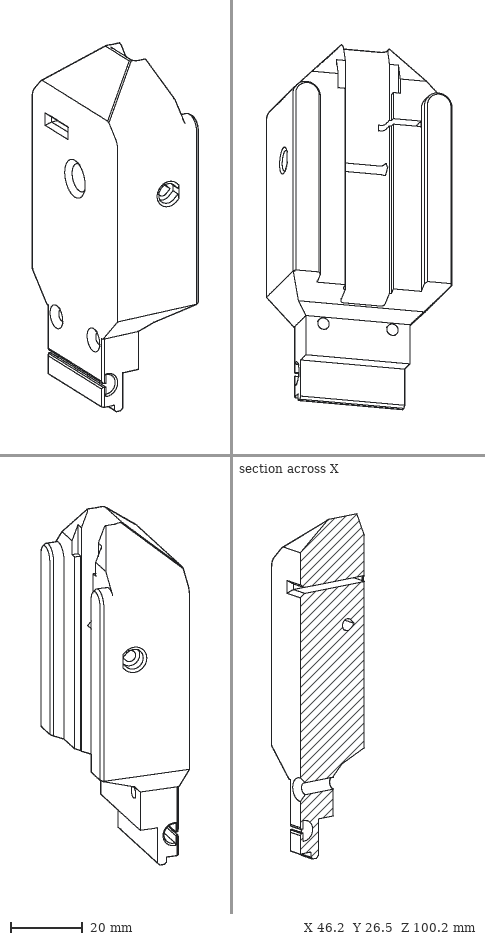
import cadquery as cq
import math

width = 46.2
depth = 26.5
height = 100.18
half_width = width / 2

corner_radius = 4.0
body_top = 86.2
corner_z = body_top - corner_radius
corner_x = half_width - corner_radius
post_inner_x = corner_x - corner_radius
rim_chamfer = 0.9
rim_chamfer_side = 0.6

neck_half_width = 15.1
neck_depth = 11.6
neck_top = 22.6
shoulder_z = neck_top + half_width - neck_half_width
neck_step_z = 11.2
tongue_front = 3.7
tongue_rear = 6.45
tongue_chamfer = 0.7
foot_z = 2.1
neck_edge_chamfer = 0.6

taper_break_y = 14.7
taper_break_z = neck_top + taper_break_y - neck_depth
taper_rim_z = 30.8

nose_depth = 22.5
nose_front_z = 88.9
nose_rear_z = 90.3
nose_tip_front = 13.75
nose_tip_rear = 18.6
nose_edge_chamfer = 0.3
nose_side_sum = corner_x + corner_z + corner_radius * math.sqrt(2)
nose_tip_half_width = nose_side_sum - height
tangent_offset = corner_radius * math.sqrt(0.5)
nose_base_z = corner_z + tangent_offset
nose_base_half_width = corner_x + tangent_offset

channel_half_width = 6.4
channel_floor = 15.45
channel_corner_radius = 1.0
mouth_radius = 1.2
ledge_y = 20.7
ledge_half_width = 7.0
notch_half_width = 9.0

groove_y = 1.4
lip_thickness = 1.0
groove_z = 8.65
groove_radius = 2.9
groove_end_chamfer = 0.5
slit_height = 1.1
slit_bevel = 0.6
slit_bevel_depth = 0.25

cone_angle = 45
screw_diameter = 3.3
neck_hole_spacing = 20.0
neck_hole_z = 20.7
neck_sink_diameter = 6.8
side_hole_y = 16.55
side_hole_z = 65.5
side_mouth_radius = 3.75
side_mouth_depth = 0.5
side_bore_radius = 2.9
side_bore_depth = 3.2
side_bore_flat = 3.3
recess_z = side_hole_z
recess_outer_diameter = 11.0
recess_inner_diameter = 8.0
window_x = -9.95
window_z = 77.8
window_width = 10.2
window_height = 1.6
window_chamfer = 1.05
window_chamfer_depth = 1.5
window_chamfer_angle = math.degrees(math.atan2(window_chamfer, window_chamfer_depth))


def extrude_along_y(points, y_start, y_end):
    """Prism from an X-Z outline."""
    plane = cq.Workplane("XZ", origin=(0, y_start, 0))
    return plane.polyline(points).close().extrude(y_start - y_end)


def extrude_along_x(points, half_length):
    """Prism from a Y-Z outline, centred on x = 0."""
    return cq.Workplane("YZ").polyline(points).close().extrude(half_length, both=True)


def centred_box(half_length, y_start, y_end, z_start, z_end):
    """Block symmetric about x = 0."""
    return cq.Workplane("XY").box(
        2 * half_length, y_end - y_start, z_end - z_start, centered=(True, False, False)
    ).translate((0, y_start, z_start))


def make_post():
    """Raised rim along the +X side, with a rounded upper end."""
    plane = cq.Workplane("XZ", origin=(0, nose_depth, 0))
    post = (
        plane.moveTo(post_inner_x, neck_top)
        .lineTo(half_width, shoulder_z)
        .lineTo(half_width, corner_z)
        .threePointArc((corner_x, body_top), (post_inner_x, corner_z))
        .close()
        .extrude(nose_depth - depth)
    )
    return post.faces(">Y").chamfer(rim_chamfer, rim_chamfer_side)


def make_body():
    """Main block with rounded upper corners, side rims and tapered shoulders."""
    outline = [
        (-neck_half_width, neck_top),
        (neck_half_width, neck_top),
        (half_width, shoulder_z),
        (half_width, body_top),
        (-half_width, body_top),
        (-half_width, shoulder_z),
    ]
    body = extrude_along_y(outline, 0, nose_depth)
    body = body.edges("|Y and >Z").fillet(corner_radius)
    post = make_post()
    body = body.union(post).union(post.mirror("YZ"))
    taper = [
        (neck_depth, neck_top),
        (taper_break_y, taper_break_z),
        (depth, taper_rim_z),
        (depth, neck_top),
    ]
    return body.cut(extrude_along_x(taper, half_width))


def make_nose():
    """Wedge with 45 degree sides, sloping front and rear faces and a flat tip."""
    front_outline = [
        (-nose_base_half_width, nose_base_z),
        (nose_base_half_width, nose_base_z),
        (nose_tip_half_width, height),
        (-nose_tip_half_width, height),
    ]
    side_outline = [
        (0, nose_base_z),
        (0, nose_front_z),
        (nose_tip_front, height),
        (nose_tip_rear, height),
        (nose_depth, nose_rear_z),
        (nose_depth, nose_base_z),
    ]
    nose = extrude_along_y(front_outline, 0, nose_depth)
    nose = nose.intersect(extrude_along_x(side_outline, half_width))
    edge_x = (nose_tip_half_width + nose_side_sum - nose_front_z) / 2
    edge_y = nose_tip_front / 2
    edge_z = (nose_front_z + height) / 2
    for side in (-1, 1):
        slanted_edge = cq.selectors.NearestToPointSelector((side * edge_x, edge_y, edge_z))
        nose = nose.edges(slanted_edge).chamfer(nose_edge_chamfer)
    return nose


def make_neck():
    """Stepped block below the body, ending in a chamfered tongue."""
    upper = centred_box(neck_half_width, 0, neck_depth, neck_step_z, neck_top)
    lower = centred_box(neck_half_width, 0, tongue_rear, foot_z, neck_step_z)
    neck = upper.union(lower).edges("|Z and <Y").chamfer(neck_edge_chamfer)
    tongue = centred_box(neck_half_width, tongue_front, tongue_rear, 0, foot_z)
    tongue = tongue.edges("|X and <Z").chamfer(tongue_chamfer)
    return neck.union(tongue)


def make_channel():
    """Tool for the rear channel, flared at its upper end so that the mouth is rounded."""
    channel = centred_box(channel_half_width, channel_floor, depth, neck_top, height)
    channel = channel.edges("|Z and <Y").fillet(channel_corner_radius)
    block = centred_box(half_width, 0, depth, neck_top, height)
    rounded = block.cut(channel)
    mouth_point = cq.selectors.NearestToPointSelector((0, channel_floor, height))
    rounded = rounded.edges(mouth_point).fillet(mouth_radius)
    channel = block.cut(rounded)
    ledge = centred_box(ledge_half_width, ledge_y, depth, neck_top, height)
    notch = centred_box(notch_half_width, ledge_y, depth, body_top, height)
    return channel.union(ledge).union(notch)


def make_clip_groove():
    """Round groove with a flat front and flared ends, opened to the front by a bevelled slit."""
    def round_bar(radius, x_start, length, taper=0):
        plane = cq.Workplane("YZ", origin=(x_start, groove_y, groove_z))
        return plane.circle(radius).extrude(length, taper=taper)

    groove = round_bar(groove_radius, -neck_half_width, 2 * neck_half_width)
    flare = round_bar(groove_radius + groove_end_chamfer, -neck_half_width, groove_end_chamfer, cone_angle)
    groove = groove.union(flare).union(flare.mirror("YZ"))
    groove = groove.cut(centred_box(half_width, -half_width, lip_thickness, 0, neck_top))
    slit = centred_box(
        neck_half_width, 0, groove_y, groove_z - slit_height / 2, groove_z + slit_height / 2
    )
    bevel = [
        (0, groove_z - slit_height / 2 - slit_bevel),
        (slit_bevel_depth, groove_z - slit_height / 2),
        (slit_bevel_depth, groove_z + slit_height / 2),
        (0, groove_z + slit_height / 2 + slit_bevel),
    ]
    return groove.union(slit).union(extrude_along_x(bevel, neck_half_width))


def cone_from_front(x, z, outer_diameter, inner_diameter):
    """45 degree cone that narrows from the front face inwards."""
    cone_depth = (outer_diameter - inner_diameter) / 2
    plane = cq.Workplane("XZ", origin=(x, 0, z))
    return plane.circle(outer_diameter / 2).extrude(-cone_depth, taper=cone_angle)


def make_neck_hole(x):
    """Countersunk screw hole through the neck."""
    plane = cq.Workplane("XZ", origin=(x, 0, neck_hole_z))
    hole = plane.circle(screw_diameter / 2).extrude(-neck_depth)
    return hole.union(cone_from_front(x, neck_hole_z, neck_sink_diameter, screw_diameter))


def make_window():
    """Slot through the whole depth with a flared front."""
    plane = cq.Workplane("XZ", origin=(window_x, 0, window_z))
    slot = plane.rect(window_width, window_height).extrude(-depth)
    flare = plane.rect(
        window_width + 2 * window_chamfer, window_height + 2 * window_chamfer
    ).extrude(-window_chamfer_depth, taper=window_chamfer_angle)
    return slot.union(flare)


def teardrop(plane, radius):
    """Circle whose rear side runs out along two 45 degree tangents to a point."""
    tangent = radius * math.sqrt(0.5)
    return (
        plane.moveTo(tangent, tangent)
        .threePointArc((-radius, 0), (tangent, -tangent))
        .lineTo(radius * math.sqrt(2), 0)
        .close()
    )


def make_side_hole():
    """Teardrop hole along X with a flared counterbore, cut flat at the rear, on both sides."""
    plane = cq.Workplane("YZ", origin=(-half_width, side_hole_y, side_hole_z))
    hole = teardrop(plane, screw_diameter / 2).extrude(width)
    bore = teardrop(plane, side_bore_radius).extrude(side_bore_depth)
    mouth = teardrop(plane, side_mouth_radius).workplane(offset=side_mouth_depth)
    mouth = teardrop(mouth, side_bore_radius).loft(ruled=True)
    keep = centred_box(half_width, 0, side_hole_y + side_bore_flat, 0, height)
    counterbore = bore.union(mouth).intersect(keep)
    return hole.union(counterbore).union(counterbore.mirror("YZ"))


part = make_body().union(make_nose()).union(make_neck())
part = part.cut(make_channel())
part = part.cut(make_clip_groove())
for side in (-1, 1):
    part = part.cut(make_neck_hole(side * neck_hole_spacing / 2))
part = part.cut(cone_from_front(0, recess_z, recess_outer_diameter, recess_inner_diameter))
part = part.cut(make_window())
part = part.cut(make_side_hole())

result = part